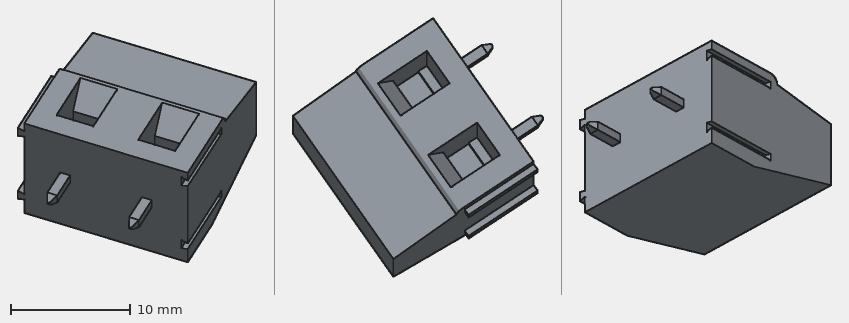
import cadquery as cq
import math

poles = 2
body_width = 15.0
pole_pitch = body_width / poles
overall_length = 17.7
body_length = 14.23
body_height = 10.3

rear_top = 8.53
rear_bottom = 2.4
bottom_flat_length = 5.06
top_flat_length = 7.01
bead_radius = 0.83
bead_height = 0.78

rail_depth = 0.6
rail_outer_height = 0.92
rail_neck_height = 0.64
rail_length = top_flat_length
rail_centers_z = (1.85, 9.1)

funnel_width = 3.38
funnel_front = 2.04
funnel_throat_rear = 5.47
funnel_slope_depth = 2.51
funnel_floor = 4.95
ledge_length = 0.87
ledge_height = 0.35
ledge_ramp_length = 0.5
ledge_ramp_drop = 0.07

pin_width = 0.9
pin_height = 0.81
pin_center_z = 5.5
pin_length = overall_length - body_length
pin_taper_length = 0.62
pin_tip_length = 0.18
pin_tip_width = 0.4
pin_straight_length = pin_length - pin_taper_length - pin_tip_length


def make_body():
    """Side profile with a rounded bead along the rear edge of the top flat."""
    bead_center_z = body_height - bead_radius
    bead_angle = math.acos(1 - bead_height / bead_radius)

    def bead_point(angle):
        """Point on the bead arc, with the angle measured back from straight up."""
        y = top_flat_length + bead_radius * math.sin(angle)
        z = bead_center_z + bead_radius * math.cos(angle)
        return y, z

    return (
        cq.Workplane("YZ")
        .moveTo(0, 0)
        .lineTo(bottom_flat_length, 0)
        .lineTo(body_length, rear_bottom)
        .lineTo(body_length, rear_top)
        .lineTo(*bead_point(bead_angle))
        .threePointArc(bead_point(bead_angle / 2), bead_point(0))
        .lineTo(0, body_height)
        .close()
        .extrude(body_width)
    )


def make_dovetail(neck_x, center_z):
    """Dovetail bar that widens toward -X from its neck."""
    outer_x = neck_x - rail_depth
    return (
        cq.Workplane("XZ")
        .moveTo(neck_x, center_z - rail_neck_height / 2)
        .lineTo(outer_x, center_z - rail_outer_height / 2)
        .lineTo(outer_x, center_z + rail_outer_height / 2)
        .lineTo(neck_x, center_z + rail_neck_height / 2)
        .close()
        .extrude(-rail_length)
    )


def make_funnel(center_x):
    """Wire opening with a sloped rear wall and a low ledge along the front of its floor."""
    ledge_top = funnel_floor + ledge_height
    ledge_rear = funnel_front + ledge_length
    return (
        cq.Workplane("YZ", origin=(center_x - funnel_width / 2, 0, 0))
        .moveTo(funnel_front, body_height)
        .lineTo(funnel_front, ledge_top - ledge_ramp_drop)
        .lineTo(funnel_front + ledge_ramp_length, ledge_top)
        .lineTo(ledge_rear, ledge_top)
        .lineTo(ledge_rear, funnel_floor)
        .lineTo(funnel_throat_rear, funnel_floor)
        .lineTo(funnel_throat_rear, body_height - funnel_slope_depth)
        .lineTo(top_flat_length, body_height)
        .close()
        .extrude(funnel_width)
    )


def make_tip_arch(across, center):
    """Bar whose section is an arch spanning the given direction, crown toward -Y."""
    half_width = pin_tip_width / 2
    axis = cq.Vector(across).cross(cq.Vector(0, -1, 0))
    return (
        cq.Workplane(cq.Plane(center, across, axis))
        .moveTo(-half_width, 0)
        .threePointArc((0, pin_tip_length), (half_width, 0))
        .close()
        .extrude(half_width, both=True)
    )


def make_pin(center_x):
    """Rectangular shank, tapered to a small square end with a domed tip."""
    shank = (
        cq.Workplane("XZ", origin=(center_x, 0, pin_center_z))
        .rect(pin_width, pin_height)
        .extrude(pin_straight_length)
    )
    taper = (
        shank.faces("<Y")
        .workplane(centerOption="CenterOfBoundBox")
        .rect(pin_width, pin_height)
        .workplane(offset=pin_taper_length)
        .rect(pin_tip_width, pin_tip_width)
        .loft(ruled=True, combine=False)
    )
    tip_base = (center_x, -pin_straight_length - pin_taper_length, pin_center_z)
    tip = make_tip_arch((1, 0, 0), tip_base).intersect(make_tip_arch((0, 0, 1), tip_base))
    return shank.union(taper).union(tip)


result = make_body()
for rail_z in rail_centers_z:
    result = result.union(make_dovetail(0, rail_z))
    result = result.cut(make_dovetail(body_width, rail_z))
for pole in range(poles):
    pole_x = (pole + 0.5) * pole_pitch
    result = result.cut(make_funnel(pole_x))
    result = result.union(make_pin(pole_x))